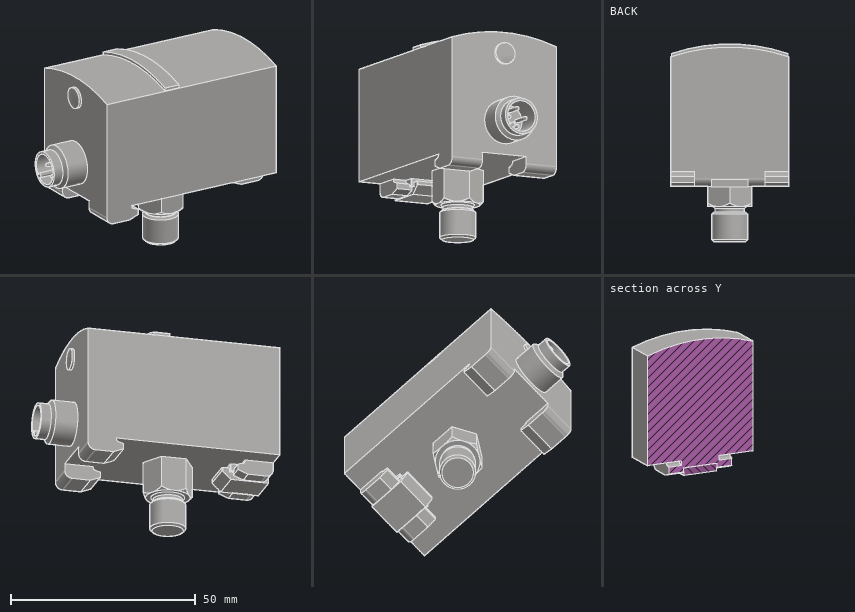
import cadquery as cq
import math


OVERALL_LENGTH = 64.0
OVERALL_HEIGHT = 53.6

CASE_WIDTH = 32.0
CASE_LENGTH = 54.1
CASE_EDGE_HEIGHT = 31.05
CASE_CROWN_HEIGHT = 33.65

BAND_WIDTH = 31.6
BAND_RISE = 0.9
BAND_START = 18.6
BAND_LENGTH = 4.5

LAMP_DIAMETER = 5.8
LAMP_HEIGHT = 27.8
LAMP_RIM = 0.7
LAMP_DOME = 0.5

PLUG_HEIGHT = 8.95
PLUG_DIAMETER = 12.0
PLUG_NOSE_DIAMETER = 9.8
PLUG_BODY_LENGTH = 6.2
PLUG_NOSE_START = 7.2
PLUG_LENGTH = OVERALL_LENGTH - CASE_LENGTH
PLUG_BORE_DIAMETER = 8.4
PLUG_BORE_DEPTH = 7.7
PIN_DIAMETER = 1.0
PIN_TIP_RADIUS = 0.48
PIN_CIRCLE_RADIUS = 2.5
PIN_COUNT = 4
PIN_SETBACK = 2.0
KEY_DIAMETER = 1.35
KEY_RADIUS = 3.7
KEY_ANGLE = 225.0

FOOT_HEIGHT = 4.0
FOOT_OVERLAP = 1.9
FOOT_NECK = 8.0
FOOT_TIP = 10.0
FOOT_FLAT = 7.2
FOOT_NECK_DROP = 0.8
FOOT_TIP_TOP = 1.4
FOOT_TIP_BOTTOM = 2.95
FOOT_CORNER_RADIUS = 2.05
FOOT_NECK_RADIUS = 0.7
FRONT_FOOT_GAP = 13.4
REAR_FOOT_WIDTH = 19.2

FITTING_Y = 27.1
HEX_ACROSS_FLATS = 12.0
HEX_LENGTH = 9.5
HEX_CHAMFER = 0.9
NECK_DIAMETER = 8.0
NECK_TAPER = 0.6
NECK_END = 10.95
THREAD_DIAMETER = 9.8
THREAD_CHAMFER = 0.65
FITTING_LENGTH = OVERALL_HEIGHT - CASE_CROWN_HEIGHT - BAND_RISE

CLIP_WIDTH = 10.0
CLIP_TOP = 2.1
CLIP_BOTTOM = 4.2
CLIP_HOOK_TOP = 0.95
CLIP_HOOK_BOTTOM = 1.9
CLIP_HOOK_REACH = 13.1
CLIP_FLAT = 10.6
LUG_WIDTH = 11.5
LUG_REACH = 11.0
EDGE_CHAMFER = 0.2


def crowned_block(width, edge_height, crown_height, length, start):
    """Block along Y with a flat bottom at Z = 0 and an arched top."""
    half = width / 2
    return (
        cq.Workplane("XZ", origin=(0, start + length, 0))
        .moveTo(-half, 0)
        .lineTo(half, 0)
        .lineTo(half, edge_height)
        .threePointArc((0, crown_height), (-half, edge_height))
        .close()
        .extrude(length)
    )


def box_between(x_limits, y_limits, z_limits):
    """Box given by its lower and upper limit along each axis."""
    size = [upper - lower for lower, upper in (x_limits, y_limits, z_limits)]
    corner = (x_limits[0], y_limits[0], z_limits[0])
    return cq.Workplane("XY", origin=corner).box(*size, centered=False)


def make_case():
    case = crowned_block(CASE_WIDTH, CASE_EDGE_HEIGHT, CASE_CROWN_HEIGHT, CASE_LENGTH, 0)
    band = crowned_block(
        BAND_WIDTH, CASE_EDGE_HEIGHT + BAND_RISE, CASE_CROWN_HEIGHT + BAND_RISE, BAND_LENGTH, BAND_START
    )
    return case.union(band)


def make_foot(width):
    """Rail foot of the given width at the front wall, hooked toward +Y."""
    return (
        cq.Workplane("YZ", origin=(-width / 2, 0, 0))
        .polyline(
            [
                (0, FOOT_OVERLAP),
                (FOOT_NECK, FOOT_OVERLAP),
                (FOOT_NECK, -FOOT_NECK_DROP),
                (FOOT_TIP, -FOOT_TIP_TOP),
                (FOOT_TIP, -FOOT_TIP_BOTTOM),
                (FOOT_FLAT, -FOOT_HEIGHT),
                (0, -FOOT_HEIGHT),
            ]
        )
        .close()
        .extrude(width)
        .edges(cq.selectors.NearestToPointSelector((0, 0, -FOOT_HEIGHT)))
        .fillet(FOOT_CORNER_RADIUS)
        .edges(cq.selectors.NearestToPointSelector((0, FOOT_NECK, -FOOT_NECK_DROP)))
        .fillet(FOOT_NECK_RADIUS)
    )


def make_front_foot():
    half_gap = FRONT_FOOT_GAP / 2
    gap = box_between((-half_gap, half_gap), (0, FOOT_TIP), (-FOOT_HEIGHT, 0))
    return make_foot(CASE_WIDTH).cut(gap)


def make_rear_foot():
    """Mirrored, narrower foot with the clip channel below the guide lug."""
    foot = make_foot(REAR_FOOT_WIDTH).mirror("XZ").translate((0, CASE_LENGTH, 0))
    half_clip = CLIP_WIDTH / 2
    channel = box_between(
        (-half_clip, half_clip), (CASE_LENGTH - LUG_REACH, CASE_LENGTH), (-CLIP_BOTTOM, -CLIP_TOP)
    )
    half_lug = LUG_WIDTH / 2
    lug = (
        box_between(
            (-half_lug, half_lug),
            (CASE_LENGTH - LUG_REACH, CASE_LENGTH - FOOT_FLAT),
            (-CLIP_TOP, 0),
        )
        .faces("<X or >X")
        .edges("<Y or <Z")
        .chamfer(EDGE_CHAMFER)
    )
    return foot.union(lug).cut(channel)


def make_lamp():
    """Short cylinder with a domed face, pointing toward -Y."""
    radius = LAMP_DIAMETER / 2
    half_arc_radius = radius / 2
    dome_radius = (radius**2 + LAMP_DOME**2) / (2 * LAMP_DOME)
    mid_drop = dome_radius - math.sqrt(dome_radius**2 - half_arc_radius**2)
    tip = LAMP_RIM + LAMP_DOME
    return (
        cq.Workplane("XY")
        .lineTo(radius, 0)
        .lineTo(radius, -LAMP_RIM)
        .threePointArc((half_arc_radius, mid_drop - tip), (0, -tip))
        .close()
        .revolve(360, (0, 0, 0), (0, 1, 0))
        .translate((0, 0, LAMP_HEIGHT))
    )


def make_plug():
    """Stepped plug pointing toward -Y, with a keyed bore and contact pins."""
    body_radius = PLUG_DIAMETER / 2
    nose_radius = PLUG_NOSE_DIAMETER / 2
    shell = (
        cq.Workplane("XY")
        .polyline(
            [
                (0, 0),
                (body_radius, 0),
                (body_radius, -PLUG_BODY_LENGTH),
                (nose_radius, -PLUG_NOSE_START),
                (nose_radius, -PLUG_LENGTH),
                (0, -PLUG_LENGTH),
            ]
        )
        .close()
        .revolve(360, (0, 0, 0), (0, 1, 0))
    )
    floor = cq.Workplane("XZ", origin=(0, PLUG_BORE_DEPTH - PLUG_LENGTH, 0))
    bore = floor.circle(PLUG_BORE_DIAMETER / 2).extrude(PLUG_BORE_DEPTH)
    pins = (
        floor.polarArray(PIN_CIRCLE_RADIUS, 0, 360, PIN_COUNT)
        .circle(PIN_DIAMETER / 2)
        .extrude(PLUG_BORE_DEPTH - PIN_SETBACK)
        .faces("<Y")
        .edges()
        .fillet(PIN_TIP_RADIUS)
    )
    key = (
        floor.polarArray(KEY_RADIUS, KEY_ANGLE, 0, 1)
        .circle(KEY_DIAMETER / 2)
        .extrude(PLUG_BORE_DEPTH)
        .intersect(bore)
    )
    return shell.cut(bore).union(pins).union(key).translate((0, 0, PLUG_HEIGHT))


def make_fitting():
    """Hexagon with corners toward +Y and -Y, an undercut neck and a thread cylinder."""
    corner_radius = HEX_ACROSS_FLATS / math.sqrt(3)
    hexagon = (
        cq.Workplane("XY")
        .polygon(6, 2 * corner_radius)
        .extrude(-HEX_LENGTH)
        .rotate((0, 0, 0), (0, 0, 1), 90)
    )
    corner_trim = (
        cq.Workplane("XY").circle(corner_radius).extrude(-HEX_LENGTH).faces("<Z").chamfer(HEX_CHAMFER)
    )
    neck_radius = NECK_DIAMETER / 2
    thread_radius = THREAD_DIAMETER / 2
    turned_end = (
        cq.Workplane("XZ")
        .polyline(
            [
                (0, -HEX_LENGTH),
                (neck_radius + NECK_TAPER, -HEX_LENGTH),
                (neck_radius, -HEX_LENGTH - NECK_TAPER),
                (neck_radius, -NECK_END),
                (thread_radius - THREAD_CHAMFER, -NECK_END),
                (thread_radius, -NECK_END - THREAD_CHAMFER),
                (thread_radius, -FITTING_LENGTH + THREAD_CHAMFER),
                (thread_radius - THREAD_CHAMFER, -FITTING_LENGTH),
                (0, -FITTING_LENGTH),
            ]
        )
        .close()
        .revolve(360, (0, 0, 0), (0, 1, 0))
    )
    return hexagon.intersect(corner_trim).union(turned_end).translate((0, FITTING_Y, 0))


def make_housing():
    housing = make_case()
    for feature in (make_front_foot(), make_rear_foot(), make_lamp(), make_plug(), make_fitting()):
        housing = housing.union(feature)
    return housing


def make_rail_clip():
    """Sliding clip lying in the rear-foot channel, with its hook rising past the lug."""
    profile = [
        (0, -CLIP_TOP),
        (LUG_REACH, -CLIP_TOP),
        (LUG_REACH, -CLIP_HOOK_TOP),
        (CLIP_HOOK_REACH, -CLIP_HOOK_TOP),
        (CLIP_HOOK_REACH, -CLIP_HOOK_BOTTOM),
        (CLIP_FLAT, -CLIP_BOTTOM),
        (0, -CLIP_BOTTOM),
    ]
    return (
        cq.Workplane("YZ", origin=(-CLIP_WIDTH / 2, CASE_LENGTH, 0))
        .polyline([(-reach, z) for reach, z in profile])
        .close()
        .extrude(CLIP_WIDTH)
        .faces("<X or >X")
        .edges("<Y")
        .chamfer(EDGE_CHAMFER)
    )


housing = make_housing()
rail_clip = make_rail_clip()
result = cq.Compound.makeCompound([housing.val(), rail_clip.val()])